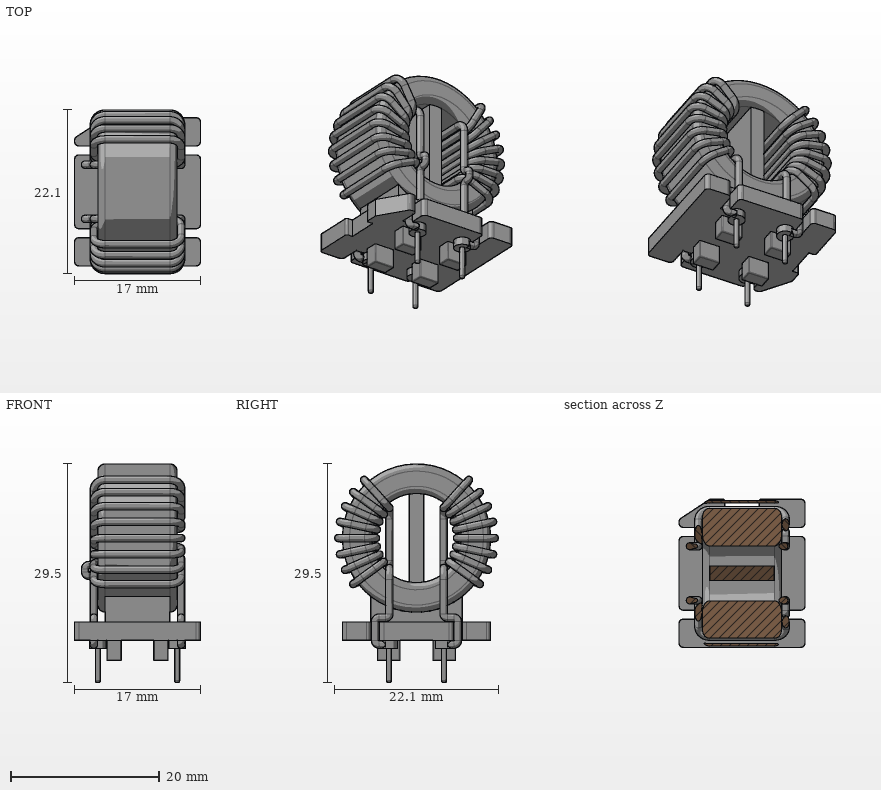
import cadquery as cq
import math


core_outer_r = 10.0
core_inner_r = 12.0 / 2
core_half_width = 5.35
core_fillet = 0.97
core_flat_half_width = core_half_width - core_fillet

plate_top = -11.3
plate_thickness = 2.5
plate_bottom = plate_top - plate_thickness
plate_half_x = 8.5
plate_half_y = core_outer_r
plate_corner_r = 0.6
slot_width = 1.18
slot_y = 5.58
slot_inner_x = 5.3
key_corner_x = 4.3
key_corner_y = 7.25
notch_half_width = 2.3
notch_depth = 1.0
notch_corner_r = 0.3
foot_x = 3.15
foot_y = 3.75
foot_size_x = 1.95
foot_size_y = 3.07
foot_height = 2.7
foot_fillet = 0.12

pin_x = core_half_width
pin_y = 3.72
pin_r = 0.35
overall_height = 29.5
pin_bottom = core_outer_r - overall_height
pin_tip_fillet = 0.3
boss_r = 1.15
boss_height = 1.1

glue_half_y = 6.2
divider_thickness = 2.0

wire_r = 0.5
wire_gap = 0.045
wire_offset = wire_gap + wire_r
turn_count = 8
turn_step = 12
first_turn_angle = 48
turn_x = core_half_width + wire_offset
turn_outer_r = core_outer_r + wire_offset
turn_inner_r = core_inner_r - wire_offset
turn_bend_r = core_fillet + wire_offset
tight_bend_r = 0.53
lead_bend_r = 0.62

shelf_gap = 0.05
lead_shelf_z = plate_top + wire_r + shelf_gap
lead_tail_z = plate_bottom - wire_r - shelf_gap
lead_end_gap = 0.12
lead_end_y = pin_y + pin_r + lead_end_gap
crossing_reach = 1.18
crossing_x = turn_x + crossing_reach
crossing_top_z = -3.63
crossing_bottom_z = -5.1


def at_four_corners(x, y):
    return [(sx * x, sy * y) for sx in (-1, 1) for sy in (-1, 1)]


def cylinder_along_x(radius, half_length):
    return cq.Workplane("YZ", origin=(-half_length, 0, 0)).circle(radius).extrude(2 * half_length)


def make_core():
    ring = cylinder_along_x(core_outer_r, core_half_width)
    ring = ring.cut(cylinder_along_x(core_inner_r, core_half_width))
    return ring.edges().fillet(core_fillet)


def make_glue():
    height = -plate_top
    block = cq.Workplane("XY").workplane(offset=plate_top)
    block = block.rect(2 * core_flat_half_width, 2 * glue_half_y).extrude(height)
    return block.cut(cylinder_along_x(core_outer_r, core_half_width))


def make_divider():
    slab = cq.Workplane("XY").box(2 * core_flat_half_width, divider_thickness, 2 * core_outer_r)
    return slab.intersect(cylinder_along_x(core_inner_r, core_half_width))


def make_plate():
    sketch = cq.Workplane("XY").workplane(offset=plate_bottom)
    plate = sketch.rect(2 * plate_half_x, 2 * plate_half_y).extrude(plate_thickness)

    slot_length = plate_half_x - slot_inner_x
    slot_x = slot_inner_x + slot_length / 2
    slots = sketch.pushPoints(at_four_corners(slot_x, slot_y)).rect(slot_length, slot_width)
    plate = plate.cut(slots.extrude(plate_thickness))

    corner = [
        (-plate_half_x, key_corner_y),
        (-key_corner_x, plate_half_y),
        (-plate_half_x, plate_half_y),
    ]
    plate = plate.cut(sketch.polyline(corner).close().extrude(plate_thickness))

    notch = sketch.center(0, plate_half_y).rect(2 * notch_half_width, 2 * notch_depth)
    plate = plate.cut(notch.extrude(plate_thickness))

    plate = plate.edges("|Z and (<X or >X)").fillet(plate_corner_r)
    notch_mouth = cq.selectors.BoxSelector(
        (-notch_half_width - notch_corner_r, plate_half_y - notch_corner_r, plate_bottom),
        (notch_half_width + notch_corner_r, plate_half_y + notch_corner_r, plate_top),
    )
    return plate.edges("|Z").edges(notch_mouth).fillet(notch_corner_r)


def make_base(pins, windings):
    base = make_plate()
    underside = cq.Workplane("XY").workplane(offset=plate_bottom)
    bosses = underside.pushPoints(at_four_corners(pin_x, pin_y)).circle(boss_r)
    base = base.union(bosses.extrude(-boss_height))

    feet = underside.pushPoints(at_four_corners(foot_x, foot_y)).rect(foot_size_x, foot_size_y)
    feet = feet.extrude(-foot_height).edges("|Z or <Z").fillet(foot_fillet)
    base = base.union(feet)

    for body in pins + windings:
        base = base.cut(body)
    return base


def make_pin(x, y):
    shaft = cq.Workplane("XY").workplane(offset=pin_bottom).center(x, y).circle(pin_r)
    return shaft.extrude(plate_bottom - pin_bottom).faces("<Z").edges().fillet(pin_tip_fillet)


def bent_wire(start, corners, end):
    """Round wire from start to end; each corner is a point and its bend radius."""
    edges = []
    points = [cq.Vector(*start)] + [cq.Vector(*point) for point, _ in corners] + [cq.Vector(*end)]
    here = points[0]
    for index, (_, bend_r) in enumerate(corners, start=1):
        corner = points[index]
        incoming = (corner - points[index - 1]).normalized()
        outgoing = (points[index + 1] - corner).normalized()
        bend_start = corner - incoming * bend_r
        bend_end = corner + outgoing * bend_r
        bend_middle = corner + (outgoing - incoming) * (bend_r * (1 - math.sqrt(0.5)))
        edges.append(cq.Edge.makeLine(here, bend_start))
        edges.append(cq.Edge.makeThreePointArc(bend_start, bend_middle, bend_end))
        here = bend_end
    edges.append(cq.Edge.makeLine(here, points[-1]))
    path = cq.Workplane(cq.Wire.assembleEdges(edges))
    profile = cq.Workplane(cq.Plane(origin=points[0], normal=points[1] - points[0])).circle(wire_r)
    return profile.sweep(path)


def turn_point(x, radius, angle):
    """Point on the -Y half of the ring, at an angle above the horizontal."""
    radians = math.radians(angle)
    return (x, -radius * math.cos(radians), radius * math.sin(radians))


def lead_corners(x, y):
    """Last three bends of a lead: over the plate, down its slot, and in toward the pin."""
    return [
        ((x, y, lead_shelf_z), tight_bend_r),
        ((x, -slot_y, lead_shelf_z), tight_bend_r),
        ((x, -slot_y, lead_tail_z), tight_bend_r),
    ]


def make_winding():
    """Winding on the -Y half of the core, with one lead on each side of it."""
    last_angle = first_turn_angle - turn_count * turn_step
    run_start = turn_point(0, turn_inner_r, first_turn_angle)

    corners = []
    for turn in range(turn_count):
        angle = first_turn_angle - turn * turn_step
        next_angle = angle - turn_step
        corners.append((turn_point(turn_x, turn_inner_r, angle), turn_bend_r))
        corners.append((turn_point(turn_x, turn_outer_r, angle), turn_bend_r))
        corners.append((turn_point(-turn_x, turn_outer_r, angle), turn_bend_r))
        corners.append((turn_point(-turn_x, turn_inner_r, next_angle), turn_bend_r))
    run_end = turn_point(turn_x, turn_inner_r, last_angle)
    corners.append((run_end, turn_bend_r))
    corners += lead_corners(turn_x, run_end[1])
    turns = bent_wire(run_start, corners, (turn_x, -lead_end_y, lead_tail_z))

    lead_y = run_start[1]
    corners = [
        (turn_point(-turn_x, turn_inner_r, first_turn_angle), turn_bend_r),
        ((-turn_x, lead_y, crossing_top_z), lead_bend_r),
        ((-crossing_x, lead_y, crossing_top_z), tight_bend_r),
        ((-crossing_x, lead_y, crossing_bottom_z), tight_bend_r),
        ((-turn_x, lead_y, crossing_bottom_z), lead_bend_r),
    ]
    corners += lead_corners(-turn_x, lead_y)
    lead = bent_wire(run_start, corners, (-turn_x, -lead_end_y, lead_tail_z))
    return turns.union(lead)


core = make_core()
glue = make_glue()
divider = make_divider()
front_winding = make_winding()
windings = [front_winding, front_winding.mirror("XZ")]
pins = [make_pin(x, y) for x, y in at_four_corners(pin_x, pin_y)]
base = make_base(pins, windings)

bodies = [core, glue, divider, base] + windings + pins
result = cq.Compound.makeCompound([body.val() for body in bodies])